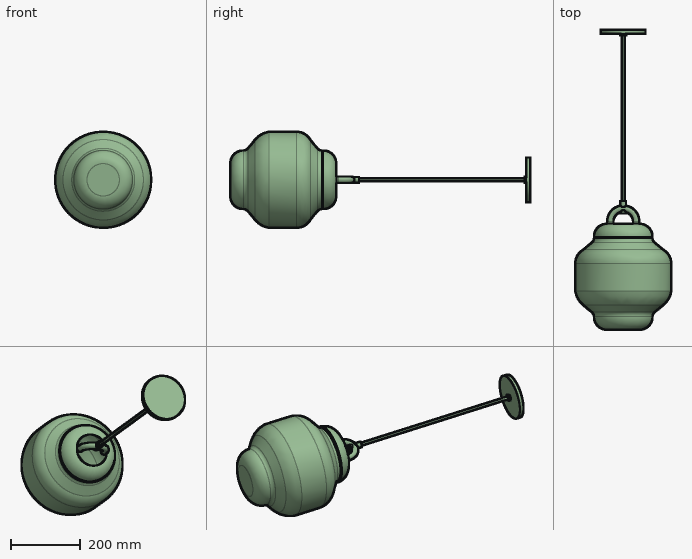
import cadquery as cq

total_length = 860.0

body_diameter = 276.0
body_radius = body_diameter / 2
shoulder_radius = 115.0
cone_neck_radius = 90.0
cap_radius = 84.0
cap_flat_radius = 46.5
cap_round = cap_radius - cap_flat_radius
shade_bottom_neck = cap_round
neck_height = 13.0
cone_height = 21.0
shoulder_height = 39.5
barrel_height = 79.0
seam_height = 3.5
seam_depth = 2.0

loop_radius = 37.0
loop_tube_radius = 9.5
foot_height = 6.0

sleeve_radius = 9.0
sleeve_bottom = 333.0
sleeve_top = 370.0

rod_radius = 4.7
plate_radius = 64.5
plate_thickness = 12.0
collar_radius = 9.5
collar_thickness = 3.0
collar_neck_radius = 7.0
collar_neck_height = 3.0

cone_bottom = shade_bottom_neck + neck_height
shoulder_bottom = cone_bottom + cone_height
barrel_bottom = shoulder_bottom + shoulder_height
barrel_top = barrel_bottom + barrel_height
shoulder_top = barrel_top + shoulder_height
cone_top = shoulder_top + cone_height
seam_bottom = cone_top + neck_height
seam_top = seam_bottom + seam_height
shade_top = seam_top + cap_round
plate_bottom = total_length - plate_thickness


def cylinder(radius, bottom, top, x=0):
    """Round bar along Y from bottom to top."""
    return cq.Workplane("XZ", origin=(x, bottom, 0)).circle(radius).extrude(bottom - top)


def make_shade():
    """Revolved shade with rounded caps, cones, a straight barrel and a seam groove."""
    groove_radius = cap_radius - seam_depth
    profile = (
        cq.Workplane("XY")
        .lineTo(cap_flat_radius, 0)
        .tangentArcPoint((cap_radius, shade_bottom_neck), relative=False)
        .tangentArcPoint((cone_neck_radius, cone_bottom), relative=False)
        .lineTo(shoulder_radius, shoulder_bottom)
        .tangentArcPoint((body_radius, barrel_bottom), relative=False)
        .lineTo(body_radius, barrel_top)
        .tangentArcPoint((shoulder_radius, shoulder_top), relative=False)
        .lineTo(cone_neck_radius, cone_top)
        .tangentArcPoint((cap_radius, seam_bottom), relative=False)
        .lineTo(groove_radius, seam_bottom)
        .lineTo(groove_radius, seam_top)
        .lineTo(cap_radius, seam_top)
        .radiusArc((cap_flat_radius, shade_top), -cap_round)
        .lineTo(0, shade_top)
        .close()
    )
    return profile.revolve(360, (0, 0, 0), (0, 1, 0))


def make_loop():
    """Half ring standing on two short feet on top of the shade."""
    ring_base = shade_top + foot_height
    centre_line = (
        cq.Workplane("XY")
        .moveTo(-loop_radius, ring_base)
        .threePointArc((0, ring_base + loop_radius), (loop_radius, ring_base))
    )
    section = cq.Workplane("XZ", origin=(-loop_radius, ring_base, 0)).circle(loop_tube_radius)
    ring = section.sweep(centre_line)
    for x in (-loop_radius, loop_radius):
        ring = ring.union(cylinder(loop_tube_radius, shade_top, ring_base, x))
    return ring


def make_suspension():
    """Sleeve, rod, stepped collar and ceiling plate, from the loop upward."""
    neck_bottom = plate_bottom - collar_neck_height
    collar_bottom = neck_bottom - collar_thickness
    return (
        cylinder(sleeve_radius, sleeve_bottom, sleeve_top)
        .union(cylinder(rod_radius, sleeve_top, collar_bottom))
        .union(cylinder(collar_radius, collar_bottom, neck_bottom))
        .union(cylinder(collar_neck_radius, neck_bottom, plate_bottom))
        .union(cylinder(plate_radius, plate_bottom, total_length))
    )


result = make_shade().union(make_loop()).union(make_suspension())